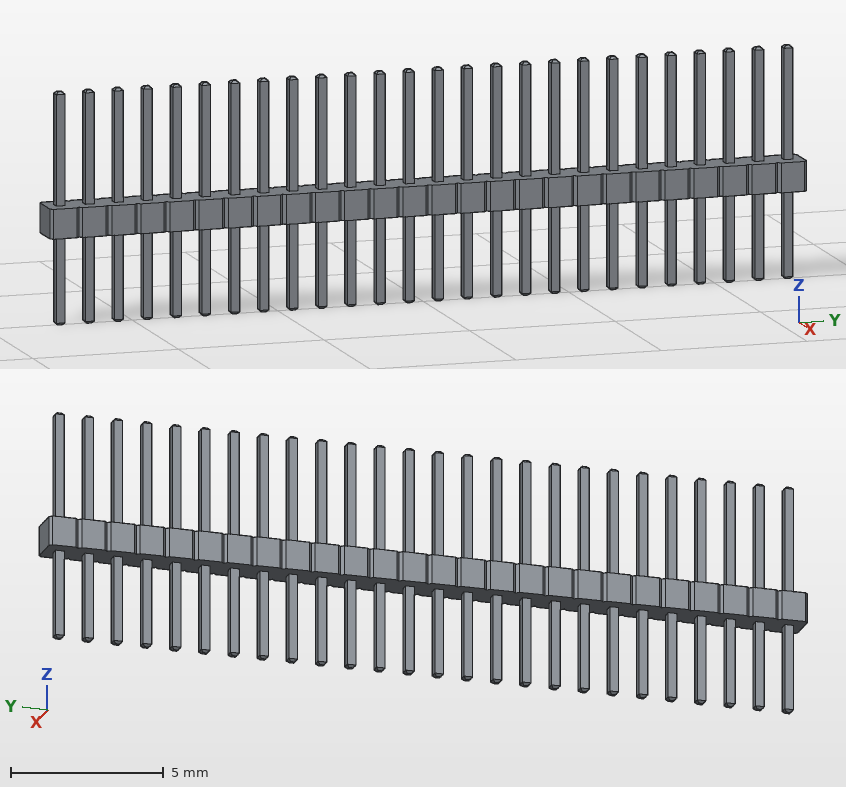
import cadquery as cq

PIN_COUNT = 26
PITCH = 1.0

BODY_WIDTH = 1.27
BODY_HEIGHT = 1.0
CELL_CHAMFER = 0.1

PIN_THICKNESS = 0.3
PIN_ABOVE_BODY = 3.8
PIN_BELOW_BODY = 3.0
TIP_CHAMFER = 0.08

NECK_WIDTH = BODY_WIDTH - 2 * CELL_CHAMFER
CELL_FLAT = PITCH - 2 * CELL_CHAMFER
PIN_LENGTH = PIN_BELOW_BODY + BODY_HEIGHT + PIN_ABOVE_BODY
ROW_POSITIONS = [(index - (PIN_COUNT - 1) / 2) * PITCH for index in range(PIN_COUNT)]


def make_body():
    """Strip of cells whose chamfered corners form V notches along both sides."""
    side = []
    for y in ROW_POSITIONS:
        side.append((NECK_WIDTH / 2, y - PITCH / 2))
        side.append((BODY_WIDTH / 2, y - CELL_FLAT / 2))
        side.append((BODY_WIDTH / 2, y + CELL_FLAT / 2))
    side.append((NECK_WIDTH / 2, PIN_COUNT * PITCH / 2))
    opposite_side = [(-x, y) for x, y in reversed(side)]
    return cq.Workplane("XY").polyline(side + opposite_side).close().extrude(BODY_HEIGHT)


def make_pin(y):
    """Square pin at the given place along the row, chamfered at both tips."""
    return (
        cq.Workplane("XY")
        .box(PIN_THICKNESS, PIN_THICKNESS, PIN_LENGTH, centered=(True, True, False))
        .faces("<Z or >Z")
        .chamfer(TIP_CHAMFER)
        .translate((0, y, -PIN_BELOW_BODY))
    )


result = make_body()
for pin_y in ROW_POSITIONS:
    result = result.union(make_pin(pin_y))